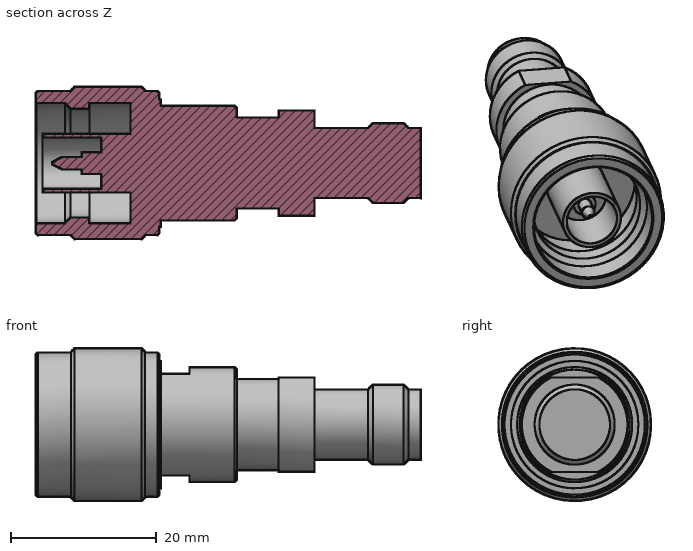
import cadquery as cq

total_length = 52.9

nut_radius = 9.93
nut_end_x = 17.0
nut_edge_chamfer = 0.3
grip_radius = 10.5
grip_start_x = 4.85
grip_end_x = 15.05
grip_chamfer = 0.5
rear_lip_radius = 8.75
rear_lip_end_x = 17.2

socket_radius = 8.25
socket_mouth_chamfer = 0.15
throat_radius = 7.45
throat_taper_x = 4.0
throat_end_x = 7.37
undercut_end_x = 13.0

ferrule_outer_radius = 4.05
ferrule_inner_radius = 3.5
ferrule_front_x = 0.95
ferrule_floor_x = 9.0
contact_radius = 1.52
contact_shoulder_x = 6.3
pin_radius = 0.88
pin_tip_radius = 0.15
pin_tip_x = 2.25
pin_cone_length = 1.4

body_radius = 7.9
body_end_x = 27.65
body_chamfer = 0.35
body_flat_height = 7.0
body_flat_end_x = 21.1

neck_radius = 6.3
wrench_start_x = 33.37
wrench_end_x = 38.3
wrench_radius = 7.25
wrench_flat_height = 6.5

barrel_radius = 4.85
ring_radius = 5.5
ring_start_x = 45.65
ring_end_x = 51.2
ring_chamfer = ring_radius - barrel_radius


def revolve_about_x(points):
    """Revolve a closed (x, radius) outline about the X axis."""
    return cq.Workplane("XY").polyline(points).close().revolve(360, (0, 0, 0), (1, 0, 0))


def cylinder(start_x, end_x, radius):
    """Solid cylinder along X."""
    return cq.Workplane("YZ").workplane(offset=start_x).circle(radius).extrude(end_x - start_x)


def cut_flats(body, start_x, end_x, radius, flat_height):
    """Cut body flat at Z = +flat_height and Z = -flat_height between two stations on X."""
    length = end_x - start_x
    depth = radius - flat_height
    cutter = cq.Workplane("XY").box(length, 2 * radius, depth)
    for side in (1, -1):
        body = body.cut(cutter.translate((start_x + length / 2, 0, side * (flat_height + depth / 2))))
    return body


def coupling_nut():
    nut = cylinder(0, nut_end_x, nut_radius).edges().chamfer(nut_edge_chamfer)
    grip = cylinder(grip_start_x, grip_end_x, grip_radius).edges().chamfer(grip_chamfer)
    rear_lip = cylinder(nut_end_x, rear_lip_end_x, rear_lip_radius)
    return nut.union(grip).union(rear_lip)


def socket_cavity():
    taper_length = socket_radius - throat_radius
    return revolve_about_x([
        (0, 0),
        (0, socket_radius + socket_mouth_chamfer),
        (socket_mouth_chamfer, socket_radius),
        (throat_taper_x, socket_radius),
        (throat_taper_x + taper_length, throat_radius),
        (throat_end_x, throat_radius),
        (throat_end_x, socket_radius),
        (undercut_end_x, socket_radius),
        (undercut_end_x, 0),
    ])


def ferrule():
    tube = cylinder(ferrule_front_x, undercut_end_x, ferrule_outer_radius)
    return tube.cut(cylinder(ferrule_front_x, ferrule_floor_x, ferrule_inner_radius))


def centre_contact():
    return revolve_about_x([
        (pin_tip_x, 0),
        (pin_tip_x, pin_tip_radius),
        (pin_tip_x + pin_cone_length, pin_radius),
        (contact_shoulder_x, pin_radius),
        (contact_shoulder_x, contact_radius),
        (ferrule_floor_x, contact_radius),
        (ferrule_floor_x, 0),
    ])


def main_body():
    body = cylinder(nut_end_x, body_end_x, body_radius).faces(">X").chamfer(body_chamfer)
    return cut_flats(body, nut_end_x, body_flat_end_x, body_radius, body_flat_height)


def small_end():
    neck = cylinder(body_end_x, wrench_start_x, neck_radius)
    wrench = cylinder(wrench_start_x, wrench_end_x, wrench_radius)
    wrench = cut_flats(wrench, wrench_start_x, wrench_end_x, wrench_radius, wrench_flat_height)
    barrel = cylinder(wrench_end_x, total_length, barrel_radius)
    ring = cylinder(ring_start_x, ring_end_x, ring_radius).edges().chamfer(ring_chamfer)
    return neck.union(wrench).union(barrel).union(ring)


shell = coupling_nut().cut(socket_cavity())
result = shell.union(main_body()).union(small_end()).union(ferrule()).union(centre_contact())